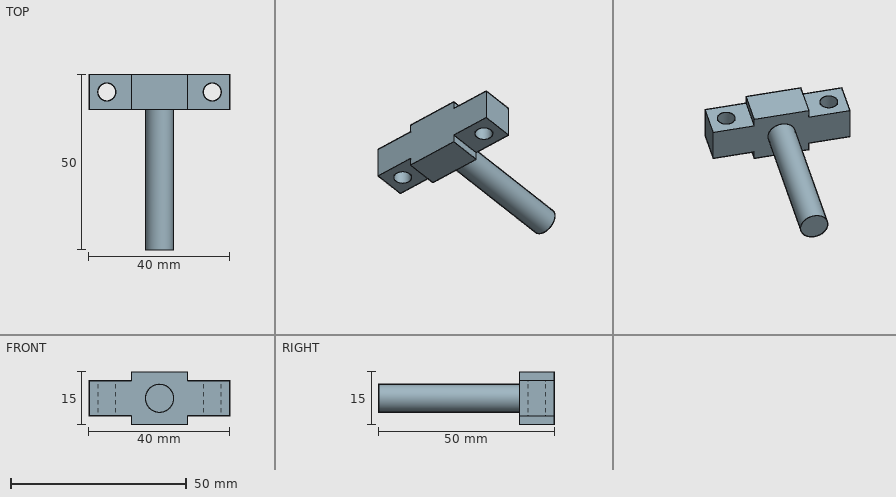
import cadquery as cq

bar_length = 40.0
bar_depth = 10.0
arm_height = 10.0
block_length = 16.0
block_height = 15.0

hole_diameter = 5.04
hole_spacing = 30.0

shaft_diameter = 8.0
shaft_length = 40.0


def make_crossbar():
    """Arms and centre block, centred on the origin."""
    arms = cq.Workplane("XY").box(bar_length, bar_depth, arm_height)
    block = cq.Workplane("XY").box(block_length, bar_depth, block_height)
    return arms.union(block)


def make_shaft():
    """Shaft running in -Y from the middle of the crossbar to its free end."""
    return (
        cq.Workplane("XZ")
        .circle(shaft_diameter / 2)
        .extrude(bar_depth / 2 + shaft_length)
    )


def make_mounting_holes():
    """Cutters for the two holes, one in the middle of each arm's depth."""
    return (
        cq.Workplane("XY")
        .pushPoints([(side * hole_spacing / 2, 0) for side in (-1, 1)])
        .circle(hole_diameter / 2)
        .extrude(block_height, both=True)
    )


result = make_crossbar().union(make_shaft()).cut(make_mounting_holes())